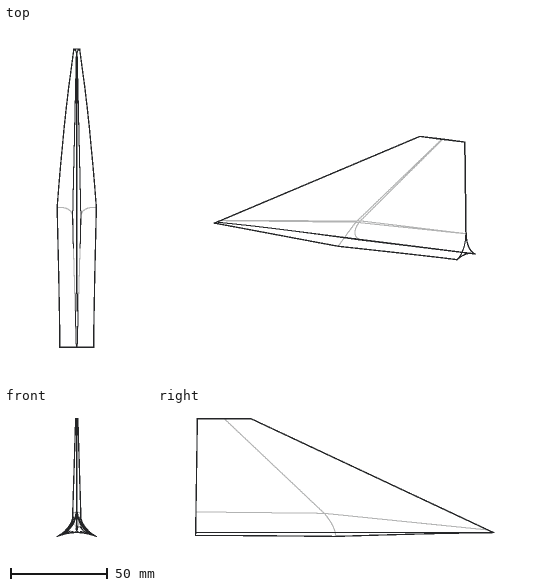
import cadquery as cq
import math

LENGTH = 154.1
HEIGHT = 60.9

TUBE_RADIUS = 26.8
TUBE_CROWN = 2.0
TUBE_AXIS_Z = TUBE_CROWN - TUBE_RADIUS

TIP_TRAILING_Y = 1.0
TIP_LEADING_Y = 28.7
EDGE_HALF_WIDTH = 0.23
WEDGE_SLOPE = 0.029

ROOT_RADIUS = 13.0
NOSE_RADIUS = 1.4
RIDGE_HALF_WIDTH = 2.2
RIDGE_FOOT_Y = 72.1
TAPER_STEPS = 4


def blend(start, end, t):
    return start + (end - start) * t


def fillet_profile(radius, half_width):
    """(x, z) at the top, middle and foot of an arc tangent to the blade side and to the tube."""
    center_x = half_width + radius
    center_z = TUBE_AXIS_Z + math.sqrt((TUBE_RADIUS + radius) ** 2 - center_x**2)
    sweep = math.atan2(center_z - TUBE_AXIS_Z, center_x)
    angles = (0, sweep / 2, sweep)
    return [(center_x - radius * math.cos(a), center_z - radius * math.sin(a)) for a in angles]


BACK_PROFILE = fillet_profile(ROOT_RADIUS, EDGE_HALF_WIDTH)
RIDGE_PROFILE = fillet_profile(ROOT_RADIUS, RIDGE_HALF_WIDTH)
NOSE_PROFILE = fillet_profile(NOSE_RADIUS, EDGE_HALF_WIDTH)
NOSE_Z = NOSE_PROFILE[-1][1]


def trailing_y(z):
    return blend(0, TIP_TRAILING_Y, z / HEIGHT)


def leading_y(z):
    return blend(LENGTH, TIP_LEADING_Y, (z - NOSE_Z) / (HEIGHT - NOSE_Z))


def ridge_point(z):
    """Point of the +X blade ridge, halfway along the chord at height z."""
    half_chord = (leading_y(z) - trailing_y(z)) / 2
    return cq.Vector(EDGE_HALF_WIDTH + WEDGE_SLOPE * half_chord, trailing_y(z) + half_chord, z)


def mirror(point):
    return cq.Vector(-point.x, point.y, point.z)


def mirrored(points):
    return [mirror(p) for p in points]


def polygon(points):
    return cq.Face.makeFromWires(cq.Wire.makePolygon(points, close=True))


def both_sides(points):
    """Face symmetric about X = 0, from the points on its +X side."""
    return polygon(points + mirrored(points)[::-1])


def back_arc():
    return [cq.Vector(x, trailing_y(z), z) for x, z in BACK_PROFILE]


def nose_arc():
    return [cq.Vector(x, leading_y(z), z) for x, z in NOSE_PROFILE]


def ridge_arc():
    """Widest fillet arc, which curves back from the tube to the ridge."""
    (_, top_z), (middle_x, middle_z), (foot_x, foot_z) = RIDGE_PROFILE
    top = ridge_point(top_z)
    rise = (middle_z - foot_z) / (top_z - foot_z)
    middle_y = RIDGE_FOOT_Y - (RIDGE_FOOT_Y - top.y) * rise**2
    return [top, cq.Vector(middle_x, middle_y, middle_z), cq.Vector(foot_x, RIDGE_FOOT_Y, foot_z)]


def taper_arc(t):
    """Fillet arc between the ridge (t = 0) and the nose (t = 1), with its top on the blade face."""
    ridge = ridge_arc()
    nose = nose_arc()
    profile = fillet_profile(blend(ROOT_RADIUS, NOSE_RADIUS, t), blend(RIDGE_HALF_WIDTH, EDGE_HALF_WIDTH, t))
    arc = [cq.Vector(x, blend(a.y, b.y, t), z) for (x, z), a, b in zip(profile, ridge, nose)]
    arc[0] = blend(ridge[0], nose[0], t)
    return arc


def root_wire(arc):
    """Closed root section: a fillet arc, its mirror image and a straight line across each end."""
    left = mirrored(arc)
    return cq.Wire.assembleEdges([
        cq.Edge.makeThreePointArc(*arc),
        cq.Edge.makeLine(arc[-1], left[-1]),
        cq.Edge.makeThreePointArc(*reversed(left)),
        cq.Edge.makeLine(left[0], arc[0]),
    ])


def taper_skin(arcs):
    """Smooth fillets and underside through the arcs, left open at the ends and under the blade."""
    loft = cq.Solid.makeLoft([root_wire(arc) for arc in arcs])
    return sorted(loft.Faces(), key=lambda face: face.Center().z)[:-1]


def make_fin():
    """Blade and root as one closed shell, with a flat underside."""
    back = back_arc()
    tapers = [taper_arc(step / TAPER_STEPS) for step in range(TAPER_STEPS + 1)]
    ridge = tapers[0]
    nose = tapers[-1]

    tip_back = cq.Vector(EDGE_HALF_WIDTH, TIP_TRAILING_Y, HEIGHT)
    tip_ridge = ridge_point(HEIGHT)
    tip_front = cq.Vector(EDGE_HALF_WIDTH, TIP_LEADING_Y, HEIGHT)

    faces = [
        both_sides([tip_back, tip_ridge, tip_front]),
        both_sides([tip_back, back[0]]),
        both_sides([tip_front, nose[0]]),
        cq.Face.makeFromWires(root_wire(back)),
        cq.Face.makeFromWires(root_wire(nose)),
        both_sides([back[-1], ridge[-1]]),
    ]
    for side in (list, mirrored):
        faces.append(polygon(side([tip_back, tip_ridge, ridge[0], back[0]])))
        faces.append(polygon(side([tip_ridge, tip_front, nose[0], ridge[0]])))
        arcs = [cq.Edge.makeThreePointArc(*side(arc)) for arc in (back, ridge)]
        faces.append(cq.Face.makeRuledSurface(*arcs))
    faces.extend(taper_skin(tapers))
    return cq.Workplane(cq.Solid.makeSolid(cq.Shell.makeShell(faces)))


def make_tube():
    overrun = 15.4
    return (
        cq.Workplane("XZ", origin=(0, -overrun, TUBE_AXIS_Z))
        .circle(TUBE_RADIUS)
        .extrude(-(LENGTH + 2 * overrun))
    )


result = make_fin().cut(make_tube())